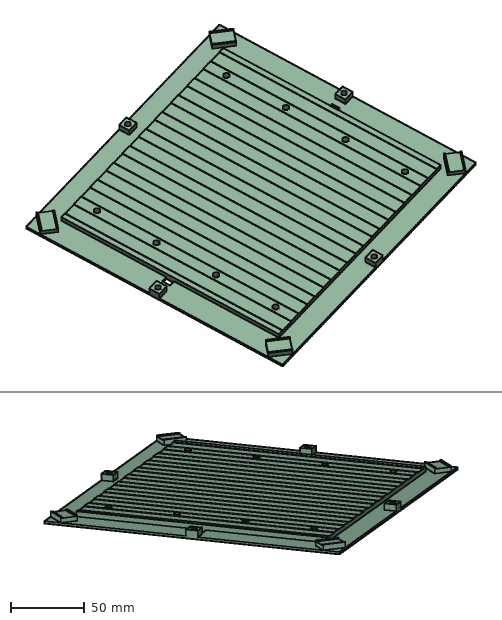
import cadquery as cq
import math

plate_x = 215.3
plate_y = 226.2
plate_thick = 1.76

pad_x = 182.5
pad_y = 189.3
pad_top = 5.5
groove_floor = 5.0
groove_width = 10.2
groove_count = 10
rib_pitch = pad_y / groove_count

pad_hole_diameter = 4.5
pad_hole_spacing = 50.0
pad_hole_columns = 4
ribs_from_centre_to_holes = 4
pad_hole_y = ribs_from_centre_to_holes * rib_pitch

boss_side = 8.5
boss_top = 6.3
boss_hole_diameter = 4.0
boss_centre_x = (plate_x - boss_side) / 2
boss_centre_y = (plate_y - boss_side) / 2
boss_centres = [
    (-boss_centre_x, 0),
    (boss_centre_x, 0),
    (0, -boss_centre_y),
    (0, boss_centre_y),
]

slot_x = 6.3
slot_y = 4.5

block_length = 16.7
block_depth = 12.5
block_top = 5.0
block_inset = 10.5
lip_width = 1.1
lip_top = 5.7


def make_plate():
    return cq.Workplane("XY").box(plate_x, plate_y, plate_thick, centered=(True, True, False))


def make_pad():
    """Pad with full ribs between the grooves and a half rib at each end."""
    pad = cq.Workplane("XY").box(pad_x, pad_y, pad_top, centered=(True, True, False))
    grooves = (
        cq.Workplane("XY", origin=(0, 0, groove_floor))
        .rarray(2.3, rib_pitch, 1, groove_count)
        .rect(pad_x, groove_width)
        .extrude(pad_top - groove_floor)
    )
    return pad.cut(grooves)


def make_bosses():
    return cq.Workplane("XY").pushPoints(boss_centres).rect(boss_side, boss_side).extrude(boss_top)


def make_corner_block(side_x, side_y):
    """Block across a plate corner, with a raised lip along both long edges."""
    half = block_depth / 2
    profile = [
        (-half, 0),
        (half, 0),
        (half, lip_top),
        (half - lip_width, lip_top),
        (half - lip_width, block_top),
        (lip_width - half, block_top),
        (lip_width - half, lip_top),
        (-half, lip_top),
    ]
    outward_angle = math.degrees(math.atan2(side_y, side_x))
    centre = (side_x * (plate_x / 2 - block_inset), side_y * (plate_y / 2 - block_inset), 0)
    return (
        cq.Workplane("XZ")
        .polyline(profile)
        .close()
        .extrude(block_length / 2, both=True)
        .rotate((0, 0, 0), (0, 0, 1), outward_angle)
        .translate(centre)
    )


def make_openings():
    """Slots and holes that pass right through the part."""
    slot_centre_y = (pad_y + slot_y) / 2
    slots = (
        cq.Workplane("XY")
        .rarray(2.3, 2 * slot_centre_y, 1, 2)
        .rect(slot_x, slot_y)
        .extrude(boss_top)
    )
    pad_holes = (
        cq.Workplane("XY")
        .rarray(pad_hole_spacing, 2 * pad_hole_y, pad_hole_columns, 2)
        .circle(pad_hole_diameter / 2)
        .extrude(boss_top)
    )
    boss_holes = (
        cq.Workplane("XY")
        .pushPoints(boss_centres)
        .circle(boss_hole_diameter / 2)
        .extrude(boss_top)
    )
    return slots.union(pad_holes).union(boss_holes)


result = make_plate().union(make_pad()).union(make_bosses())
for side_x in (-1, 1):
    for side_y in (-1, 1):
        result = result.union(make_corner_block(side_x, side_y))
result = result.cut(make_openings())